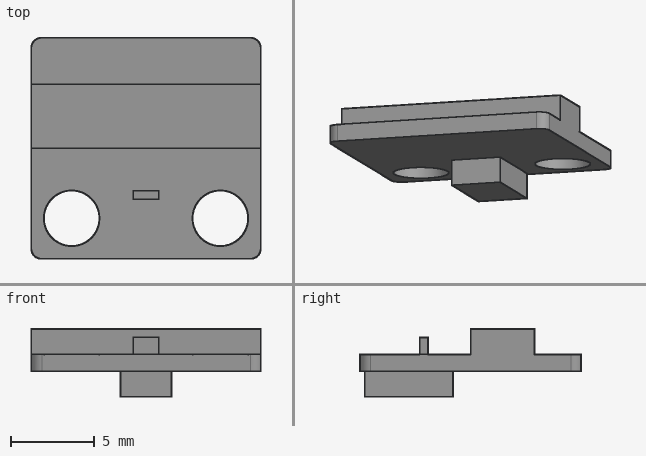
import cadquery as cq

plate_width = 13.72
plate_depth = 13.21
plate_thickness = 1.02
corner_radius = 0.63

hole_diameter = 3.3
hole_spacing = 8.88
hole_from_front = 2.43

rib_depth = 3.81
rib_height = 1.52
rib_from_front = 6.61

tab_width = 1.52
tab_depth = 0.51
tab_height = plate_thickness
tab_from_front = 3.57

block_width = 2 * tab_width
block_depth = 5.28
block_height = rib_height
block_from_front = 0.29


def centred_box(width, depth, height, front, bottom):
    """Box centred in X, with its front face and underside placed in Y and Z."""
    box = cq.Workplane("XY").box(width, depth, height, centered=(True, False, False))
    return box.translate((0, front, bottom))


plate = centred_box(plate_width, plate_depth, plate_thickness, 0, 0)
plate = plate.edges("|Z").fillet(corner_radius)

rib = centred_box(plate_width, rib_depth, rib_height, rib_from_front, plate_thickness)
tab = centred_box(tab_width, tab_depth, tab_height, tab_from_front, plate_thickness)
block = centred_box(block_width, block_depth, block_height, block_from_front, -block_height)

hole_centres = [(side * hole_spacing / 2, hole_from_front) for side in (-1, 1)]
holes = (
    cq.Workplane("XY")
    .pushPoints(hole_centres)
    .circle(hole_diameter / 2)
    .extrude(plate_thickness)
)

result = plate.cut(holes).union(rib).union(tab).union(block)